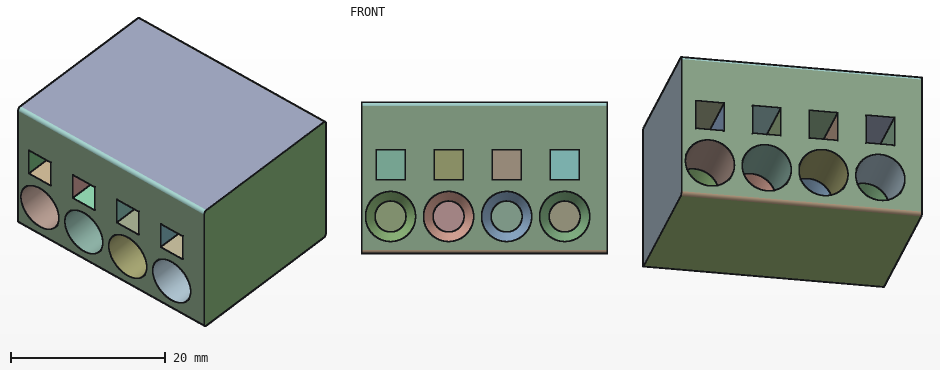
import cadquery as cq

length = 31.8
depth = 24.15
height = 19.6
edge_radius = 0.48

terminal_count = 4
terminal_pitch = 7.5
first_terminal_x = -length / 2 + terminal_pitch / 2

entry_diameter = 6.5
entry_floor_diameter = 4.0
entry_bore_depth = 9.55
entry_cone_depth = 2.0
entry_z = 4.8

pocket_width = terminal_pitch / 2
pocket_height = 3.9
pocket_depth = entry_bore_depth
pocket_z = 11.48


def make_housing():
    """Block with its four long edges rounded."""
    block = cq.Workplane("XY").box(length, depth, height, centered=(True, False, False))
    return block.edges("|X").fillet(edge_radius)


def make_wire_entry(x):
    """Bore with a conical end, revolved about an axis parallel to Y."""
    half_profile = (
        cq.Workplane("XY")
        .lineTo(entry_diameter / 2, 0)
        .lineTo(entry_diameter / 2, entry_bore_depth)
        .lineTo(entry_floor_diameter / 2, entry_bore_depth + entry_cone_depth)
        .lineTo(0, entry_bore_depth + entry_cone_depth)
        .close()
    )
    entry = half_profile.revolve(360, (0, 0, 0), (0, 1, 0))
    return entry.translate((x, 0, entry_z))


def make_release_pocket(x):
    """Straight rectangular pocket cut back from the front face."""
    pocket = cq.Workplane("XY").box(pocket_width, pocket_depth, pocket_height, centered=(True, False, True))
    return pocket.translate((x, 0, pocket_z))


result = make_housing()
for terminal in range(terminal_count):
    terminal_x = first_terminal_x + terminal * terminal_pitch
    result = result.cut(make_wire_entry(terminal_x))
    result = result.cut(make_release_pocket(terminal_x))